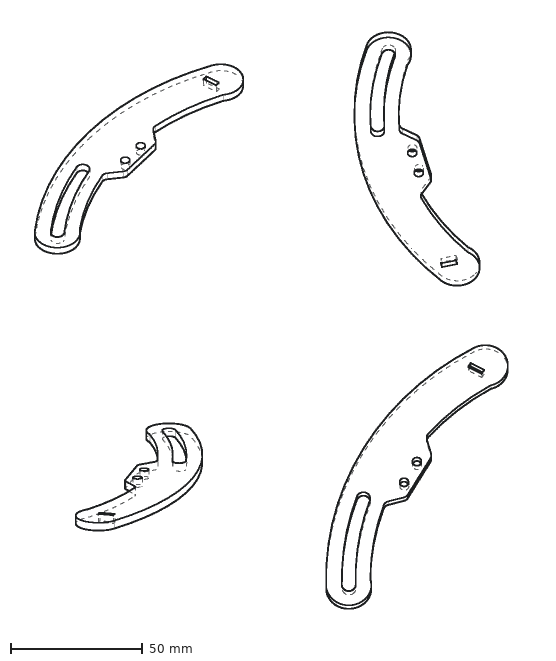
import cadquery as cq
import math

thickness = 3.2
length = 123.3
width = 31.9

pad_radius = 8.6
band_width = 16.9
pad_x = width - pad_radius
pad_y = length / 2 - pad_radius
outer_radius = (pad_x**2 + pad_y**2 - pad_radius**2) / (2 * (pad_x - pad_radius))
pad_path_radius = outer_radius - pad_radius
inner_radius = outer_radius - band_width
bend_x = outer_radius
pad_angle = math.asin(pad_y / pad_path_radius)

tab_x = 24.3
tab_half_flat = 9.9
tab_root_x = 14.8
tab_root_half = tab_half_flat + tab_x - tab_root_x
tab_root_fillet = 2.5
tab_corner_fillet = 2.5

edge_margin = 0.1

hole_diameter = 3.5
hole_x = 20.5
hole_spacing = 10.0

slot_width = 5.2
slot_start_y = -18.5
slot_start_angle = math.asin(slot_start_y / pad_path_radius)

window_length = 5.9
window_height = 1.8
window_x = 20.8
window_y = 50.3


def bend_point(radius, angle):
    """Point at a radius from the bend centre; positive angles lie toward +Y."""
    return (bend_x - radius * math.cos(angle), radius * math.sin(angle))


def arc_band(inner, outer, start, end):
    """Plate-thick ring sector about the bend centre."""
    middle = (start + end) / 2
    return (
        cq.Workplane("XY")
        .moveTo(*bend_point(outer, start))
        .threePointArc(bend_point(outer, middle), bend_point(outer, end))
        .lineTo(*bend_point(inner, end))
        .threePointArc(bend_point(inner, middle), bend_point(inner, start))
        .close()
        .extrude(thickness)
    )


def discs(centers, diameter):
    return cq.Workplane("XY").pushPoints(centers).circle(diameter / 2).extrude(thickness)


def upright_edges(body, x_min, x_max, y_max):
    """Selector box around the vertical edges in an X range, within +/- y_max."""
    box = cq.selectors.BoxSelector((x_min, -y_max, -thickness), (x_max, y_max, 2 * thickness))
    return body.edges("|Z").edges(box)


def band_with_tab():
    tab = (
        cq.Workplane("XY")
        .polyline([
            (tab_root_x, -tab_root_half),
            (tab_x, -tab_half_flat),
            (tab_x, tab_half_flat),
            (tab_root_x, tab_root_half),
        ])
        .close()
        .extrude(thickness)
    )
    body = arc_band(inner_radius, outer_radius, -pad_angle, pad_angle).union(tab)
    face_start = tab_x - edge_margin
    face_end = tab_x + edge_margin
    body = upright_edges(body, tab_root_x, face_start, tab_root_half).fillet(tab_root_fillet)
    return upright_edges(body, face_start, face_end, tab_root_half).fillet(tab_corner_fillet)


def curved_slot():
    half = slot_width / 2
    inner = pad_path_radius - half
    outer = pad_path_radius + half
    channel = arc_band(inner, outer, -pad_angle, slot_start_angle)
    ends = [bend_point(pad_path_radius, angle) for angle in (-pad_angle, slot_start_angle)]
    return channel.union(discs(ends, slot_width))


pads = discs([(pad_x, -pad_y), (pad_x, pad_y)], 2 * pad_radius)
holes = discs([(hole_x, -hole_spacing / 2), (hole_x, hole_spacing / 2)], hole_diameter)
window = (
    cq.Workplane("XY")
    .center(window_x, window_y)
    .rect(window_length, window_height)
    .extrude(thickness)
)

result = band_with_tab().union(pads).cut(curved_slot()).cut(holes).cut(window)